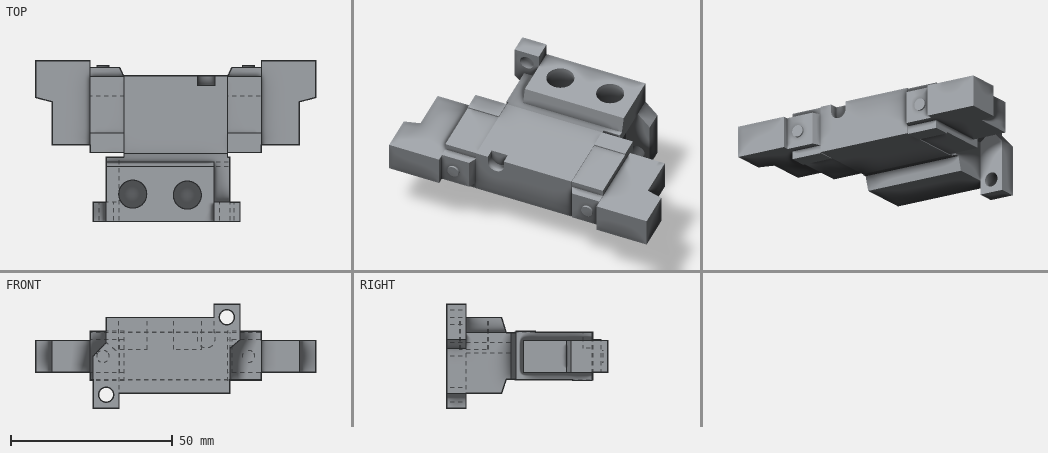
import cadquery as cq


TOTAL_LENGTH = 87.0
TOTAL_DEPTH = 49.99
SOLENOID_HEIGHT = 10.0
SOLENOID_STEP_X = 38.4
SOLENOID_FRONT_Y = 23.8
HOOD_SLOPE_INNER_Y = 37.2
HOOD_SLOPE_OUTER_Y = 38.5

CAP_OUTER_X = 26.6
CAP_FRONT_Y = 21.45
CAP_BACK_Y = 45.1
CAP_TOP = 7.4
CAP_BOTTOM = -7.1
CAP_TOP_PAD = 7.85
CAP_TOP_PAD_BACK_Y = 27.5
CAP_BOTTOM_PAD = -7.55
CAP_BOTTOM_PAD_FRONT_Y = 39.0
NOSE_BACK_Y = 47.85
NOSE_TOP = 5.2
NOSE_BOTTOM = -5.0
NOSE_CORNER_X = 17.4
BUTTON_X = 22.6
BUTTON_DIAMETER = 3.8
BUTTON_BACK_Y = 48.5

BODY_HALF_LENGTH = 16.1
BODY_FRONT_Y = 21.2
BODY_BACK_Y = 45.35
BODY_TOP = 7.6
BODY_BOTTOM = -7.35
RECESS_X = 9.45
RECESS_WIDTH = 5.4
RECESS_AXIS_Z = 5.3
RECESS_DEPTH = 3.1

BASE_TOP = 12.1
BASE_BOTTOM = -11.5
BASE_UPPER_LEFT_X = -21.6
BASE_UPPER_RIGHT_X = 11.8
BASE_LOWER_LEFT_X = -17.55
BASE_LOWER_RIGHT_X = 16.8
BASE_LEFT_SLOPE_TOP = 4.3
BASE_LEFT_SLOPE_BOTTOM = 1.0
BASE_SHOULDER_Y = 17.05
BASE_NECK_Y = 18.5
BASE_BACK_Y = 20.0
NECK_TOP = 7.35
NECK_BOTTOM = -7.1
PORT_DIAMETER = 8.7
PORT_DEPTH = 10.0
PORT_CENTERS = [(-13.35, 8.55), (3.6, 8.25)]

FLANGE_THICKNESS = 6.05
FLANGE_TOP = 16.25
FLANGE_HEIGHT = 32.35
FLANGE_BOTTOM = FLANGE_TOP - FLANGE_HEIGHT
FLANGE_LEFT_X = -25.65
FLANGE_RIGHT_X = 20.0
LEFT_CHAMFER_BOTTOM = 0.05
RIGHT_CHAMFER_TOP = 5.2
RIGHT_CHAMFER_BOTTOM = 2.45
MOUNT_HOLE_DIAMETER = 4.6
MOUNT_HOLE_CENTERS = [(-21.6, -11.9), (15.85, 12.15)]


def block(x_range, y_range, z_range):
    """Box spanning the given (low, high) limits on each axis."""
    size = [high - low for low, high in (x_range, y_range, z_range)]
    corner = (x_range[0], y_range[0], z_range[0])
    return cq.Workplane("XY").box(*size, centered=False).translate(corner)


def plan_prism(points, z_low, z_high):
    """Extrude an (X, Y) outline between two heights."""
    return cq.Workplane("XY", origin=(0, 0, z_low)).polyline(points).close().extrude(z_high - z_low)


def front_prism(points, depth):
    """Extrude an (X, Z) outline from the mounting face towards +Y."""
    return cq.Workplane("XZ").polyline(points).close().extrude(-depth)


def y_cylinder(x, z, diameter, y_low, y_high):
    """Cylinder along Y between two depths."""
    return cq.Workplane("XZ", origin=(x, y_low, z)).circle(diameter / 2).extrude(y_low - y_high)


def make_right_end():
    """End cap, nose, button and solenoid on the +X end."""
    cap_x = (BODY_HALF_LENGTH, CAP_OUTER_X)
    cap = block(cap_x, (CAP_FRONT_Y, CAP_BACK_Y), (CAP_BOTTOM, CAP_TOP))
    top_pad = block(cap_x, (CAP_FRONT_Y, CAP_TOP_PAD_BACK_Y), (CAP_BOTTOM, CAP_TOP_PAD))
    bottom_pad = block(cap_x, (CAP_BOTTOM_PAD_FRONT_Y, CAP_BACK_Y), (CAP_BOTTOM_PAD, CAP_TOP))
    nose_outline = [
        (BODY_HALF_LENGTH, CAP_BACK_Y),
        (CAP_OUTER_X, CAP_BACK_Y),
        (CAP_OUTER_X, NOSE_BACK_Y),
        (NOSE_CORNER_X, NOSE_BACK_Y),
    ]
    nose = plan_prism(nose_outline, NOSE_BOTTOM, NOSE_TOP)
    button = y_cylinder(BUTTON_X, 0, BUTTON_DIAMETER, CAP_BACK_Y, BUTTON_BACK_Y)
    solenoid_outline = [
        (CAP_OUTER_X, SOLENOID_FRONT_Y),
        (SOLENOID_STEP_X, SOLENOID_FRONT_Y),
        (SOLENOID_STEP_X, HOOD_SLOPE_INNER_Y),
        (TOTAL_LENGTH / 2, HOOD_SLOPE_OUTER_Y),
        (TOTAL_LENGTH / 2, TOTAL_DEPTH),
        (CAP_OUTER_X, TOTAL_DEPTH),
    ]
    solenoid = plan_prism(solenoid_outline, -SOLENOID_HEIGHT / 2, SOLENOID_HEIGHT / 2)
    return cap.union(top_pad).union(bottom_pad).union(nose).union(button).union(solenoid)


def make_body():
    """Central block with a U-shaped recess in its top back edge."""
    body_x = (-BODY_HALF_LENGTH, BODY_HALF_LENGTH)
    body = block(body_x, (BODY_FRONT_Y, BODY_BACK_Y), (BODY_BOTTOM, BODY_TOP))
    neck = block(body_x, (BASE_BACK_Y, BODY_FRONT_Y), (NECK_BOTTOM, NECK_TOP))
    recess_y = (BODY_BACK_Y - RECESS_DEPTH, BODY_BACK_Y)
    recess_x = (RECESS_X - RECESS_WIDTH / 2, RECESS_X + RECESS_WIDTH / 2)
    recess_floor = y_cylinder(RECESS_X, RECESS_AXIS_Z, RECESS_WIDTH, *recess_y)
    recess_mouth = block(recess_x, recess_y, (RECESS_AXIS_Z, BODY_TOP))
    return body.cut(recess_floor).cut(recess_mouth).union(neck)


def make_base():
    """Base block: stepped (X, Z) section limited by a shouldered (Y, Z) section."""
    section = front_prism(
        [
            (BASE_UPPER_LEFT_X, BASE_TOP),
            (BASE_UPPER_RIGHT_X, BASE_TOP),
            (BASE_UPPER_RIGHT_X, NECK_TOP),
            (BASE_LOWER_RIGHT_X, NECK_TOP),
            (BASE_LOWER_RIGHT_X, BASE_BOTTOM),
            (BASE_LOWER_LEFT_X, BASE_BOTTOM),
            (BASE_LOWER_LEFT_X, BASE_LEFT_SLOPE_BOTTOM),
            (BASE_UPPER_LEFT_X, BASE_LEFT_SLOPE_TOP),
        ],
        BASE_BACK_Y,
    )
    side_outline = [
        (0, BASE_TOP),
        (BASE_SHOULDER_Y, BASE_TOP),
        (BASE_NECK_Y, NECK_TOP),
        (BASE_BACK_Y, NECK_TOP),
        (BASE_BACK_Y, NECK_BOTTOM),
        (BASE_NECK_Y, NECK_BOTTOM),
        (BASE_SHOULDER_Y, BASE_BOTTOM),
        (0, BASE_BOTTOM),
    ]
    side = cq.Workplane("YZ").polyline(side_outline).close().extrude(TOTAL_LENGTH / 2, both=True)
    return section.intersect(side)


def make_flange():
    """Mounting plate with a tab at two opposite corners."""
    outline = [
        (BASE_UPPER_LEFT_X, BASE_TOP),
        (BASE_UPPER_RIGHT_X, BASE_TOP),
        (BASE_UPPER_RIGHT_X, FLANGE_TOP),
        (FLANGE_RIGHT_X, FLANGE_TOP),
        (FLANGE_RIGHT_X, RIGHT_CHAMFER_TOP),
        (BASE_LOWER_RIGHT_X, RIGHT_CHAMFER_BOTTOM),
        (BASE_LOWER_RIGHT_X, BASE_BOTTOM),
        (BASE_LOWER_LEFT_X, BASE_BOTTOM),
        (BASE_LOWER_LEFT_X, FLANGE_BOTTOM),
        (FLANGE_LEFT_X, FLANGE_BOTTOM),
        (FLANGE_LEFT_X, LEFT_CHAMFER_BOTTOM),
        (BASE_UPPER_LEFT_X, BASE_LEFT_SLOPE_TOP),
    ]
    return front_prism(outline, FLANGE_THICKNESS)


right_end = make_right_end()
left_end = right_end.mirror("YZ")
result = make_body().union(make_base()).union(make_flange()).union(right_end).union(left_end)

for port_x, port_y in PORT_CENTERS:
    port = cq.Workplane("XY", origin=(port_x, port_y, BASE_TOP)).circle(PORT_DIAMETER / 2).extrude(-PORT_DEPTH)
    result = result.cut(port)

for hole_x, hole_z in MOUNT_HOLE_CENTERS:
    result = result.cut(y_cylinder(hole_x, hole_z, MOUNT_HOLE_DIAMETER, 0, FLANGE_THICKNESS))